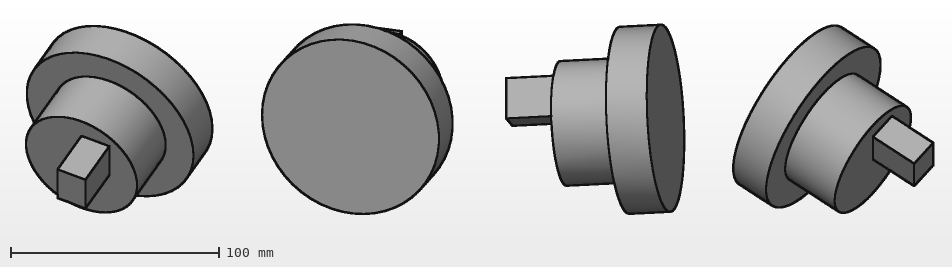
import cadquery as cq

flange_diameter = 90.0
flange_thickness = 20.0
hub_diameter = 60.0
hub_length = 30.0
key_width = 15.0
key_height = 20.0
key_length = 25.0

hub_start = flange_thickness
key_start = hub_start + hub_length


def profile_plane(distance):
    """XZ workplane, facing -Y, at a distance in front of the flange's back face."""
    return cq.Workplane("XZ").workplane(offset=distance)


flange = profile_plane(0).circle(flange_diameter / 2).extrude(flange_thickness)
hub = profile_plane(hub_start).circle(hub_diameter / 2).extrude(hub_length)

key = (
    profile_plane(key_start)
    .rect(key_width, key_height, centered=False)
    .extrude(key_length)
)

result = flange.union(hub).union(key)